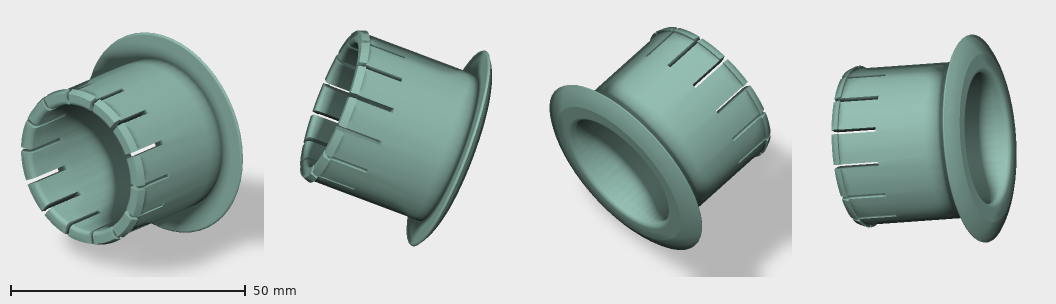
import cadquery as cq

total_length = 29.45

flange_radius = 22.2
flange_thickness = 2.55
crown_radius = 18.0
dome_bulge = 0.25
rim_rounding = 0.5

tube_radius = 16.65
bore_radius = 14.05
bore_rounding = 0.98

lip_radius = 17.3
lip_length = 1.6

slot_count = 14
slot_width = 0.98
slot_length = 10.0

tip_y = 0.0
lip_y = tip_y + lip_length
crown_y = tip_y + total_length
flange_y = crown_y - flange_thickness


def make_body():
    """Revolve the half section: radius along X, length along Y."""
    rim_y = flange_y + rim_rounding
    dome_middle = (
        (flange_radius + crown_radius) / 2,
        (rim_y + crown_y) / 2 + dome_bulge,
    )
    section = (
        cq.Workplane("XY")
        .moveTo(bore_radius + bore_rounding, tip_y)
        .lineTo(tube_radius, tip_y)
        .lineTo(lip_radius, lip_y)
        .lineTo(tube_radius, lip_y)
        .lineTo(tube_radius, flange_y)
        .lineTo(flange_radius - rim_rounding, flange_y)
        .radiusArc((flange_radius, rim_y), -rim_rounding)
        .threePointArc(dome_middle, (crown_radius, crown_y))
        .lineTo(bore_radius + bore_rounding, crown_y)
        .radiusArc((bore_radius, crown_y - bore_rounding), -bore_rounding)
        .lineTo(bore_radius, tip_y + bore_rounding)
        .radiusArc((bore_radius + bore_rounding, tip_y), -bore_rounding)
        .close()
    )
    return section.revolve(360, (0, 0, 0), (0, 1, 0))


def make_slots():
    """Radial cutters spaced evenly around the axis, the first one along +X."""
    slot = cq.Workplane("XY").box(
        flange_radius, slot_length, slot_width, centered=(False, False, True)
    )
    slots = slot
    for index in range(1, slot_count):
        angle = 360 / slot_count * index
        slots = slots.union(slot.rotate((0, 0, 0), (0, 1, 0), angle))
    return slots


result = make_body().cut(make_slots())